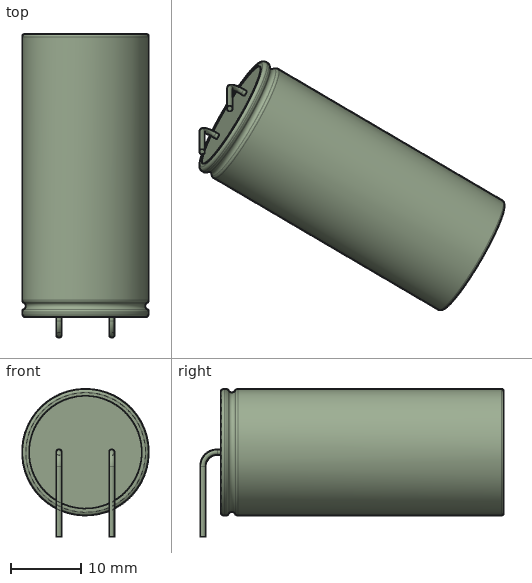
import cadquery as cq
import math

can_length = 40.2
can_radius = 9.0
end_round = 0.5
back_round = 0.4
recess_radius = 8.0
recess_depth = 0.1

groove_centre = 1.6
groove_half_width = 0.85
groove_depth = 0.5
lip_width = 0.4

lead_diameter = 0.8
lead_pitch = 7.5
lead_bend_radius = 2.0
lead_straight = 0.5
lead_tip_z = -12.0

groove_angle = 2 * math.atan(groove_depth / groove_half_width)
lip_radius = lip_width / math.sin(groove_angle)
lip_drop = lip_radius * (1 - math.cos(groove_angle))
lip_mid_y = lip_radius * math.sin(groove_angle / 2)
lip_mid_drop = lip_radius * (1 - math.cos(groove_angle / 2))


def round_mid(radius):
    """Distance from a square corner, along either side, to the middle of its rounding."""
    return radius * (1 - math.sqrt(0.5))


def make_can():
    groove_front = groove_centre - groove_half_width
    groove_back = groove_centre + groove_half_width
    front_mid = round_mid(end_round)
    back_mid = round_mid(back_round)
    profile = (
        cq.Workplane("XY")
        .moveTo(0, recess_depth)
        .lineTo(recess_radius, recess_depth)
        .lineTo(recess_radius, 0)
        .lineTo(can_radius - end_round, 0)
        .threePointArc((can_radius - front_mid, front_mid), (can_radius, end_round))
        .lineTo(can_radius, groove_front)
        .threePointArc(
            (can_radius - lip_mid_drop, groove_front + lip_mid_y),
            (can_radius - lip_drop, groove_front + lip_width),
        )
        .threePointArc(
            (can_radius - groove_depth, groove_centre),
            (can_radius - lip_drop, groove_back - lip_width),
        )
        .threePointArc(
            (can_radius - lip_mid_drop, groove_back - lip_mid_y),
            (can_radius, groove_back),
        )
        .lineTo(can_radius, can_length - back_round)
        .threePointArc(
            (can_radius - back_mid, can_length - back_mid),
            (can_radius - back_round, can_length),
        )
        .lineTo(0, can_length)
        .close()
    )
    return profile.revolve(360, (0, 0, 0), (0, 1, 0))


def make_lead(x):
    """One round wire from the sealing face, bent down to point along -Z."""
    bend_start = -lead_straight
    bend_end = bend_start - lead_bend_radius
    bend_mid = round_mid(lead_bend_radius)
    path = (
        cq.Workplane("YZ", origin=(x, 0, 0))
        .moveTo(recess_depth, 0)
        .lineTo(bend_start, 0)
        .threePointArc((bend_end + bend_mid, -bend_mid), (bend_end, -lead_bend_radius))
        .lineTo(bend_end, lead_tip_z)
    )
    section = cq.Workplane("XZ", origin=(x, recess_depth, 0)).circle(lead_diameter / 2)
    return section.sweep(path)


can = make_can()
leads = [make_lead(side * lead_pitch / 2) for side in (-1, 1)]

result = cq.Compound.makeCompound([can.val(), *[lead.val() for lead in leads]])